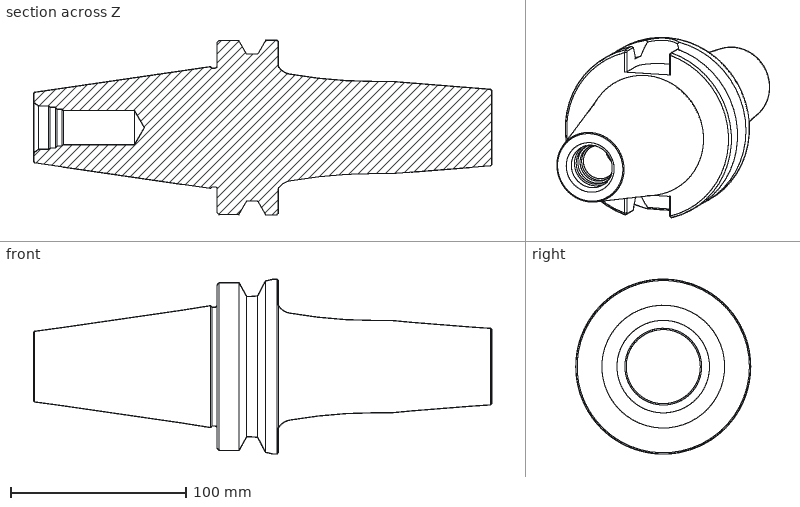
import cadquery as cq
import math

total_length = 261.8
taper_end = 101.0
flange_start = 104.7
flange_end = 139.8

small_end_radius = 20.2
small_end_chamfer = 0.5
taper_slope = 7 / 48
large_end_radius = small_end_radius + taper_end * taper_slope
neck_radius = 34.0
neck_start = taper_end + large_end_radius - neck_radius
neck_fillet = 1.0

flange_radius = 50.0
front_chamfer = 1.3
back_chamfer = 0.8
groove_x = 125.0
groove_radius = 42.1
groove_bottom_width = 6.3
flank_angle = 30.0
flank_length = (flange_radius - groove_radius) * math.tan(math.radians(flank_angle))
groove_bottom_half = groove_bottom_width / 2
groove_top_half = groove_bottom_half + flank_length

root_radius = 35.0
waist_start = 146.3
waist_start_radius = 30.5
waist_end = 194.8
shank_radius = 26.5
nose_start = 204.7
nose_angle = 4.5
nose_radius = shank_radius - (total_length - nose_start) * math.tan(math.radians(nose_angle))
nose_chamfer = 0.8

mouth_radius = 14.5
lip_radius = 13.5
lip_depth = 1.0
counterbore_radius = 12.3
counterbore_start = 3.0
counterbore_end = 8.6
recess_radius = 11.5
recess_end = 12.5
thread_radius = 10.5
thread_end = 16.2
drill_radius = 9.7
drill_end = 57.5
step_lead = 0.8
drill_tip_length = drill_radius * math.tan(math.radians(30))

slot_half_width = 12.8
slot_floor = 35.3
slot_end = 135.5
slot_edge_chamfer = 1.0


def waist_midpoint():
    """Middle of the waist arc, which is tangent to the shank cylinder."""
    run = waist_end - waist_start
    rise = waist_start_radius - shank_radius
    radius = (run**2 + rise**2) / (2 * rise)
    half_sweep = math.asin(run / radius) / 2
    x = waist_end - radius * math.sin(half_sweep)
    r = shank_radius + radius * (1 - math.cos(half_sweep))
    return (x, r)


def root_midpoint():
    """Middle of the root fillet, which runs tangent into the waist arc."""
    run = waist_start - flange_end
    drop = root_radius - waist_start_radius
    chord = math.hypot(run, drop)
    chord_angle = math.atan2(drop, run)
    waist_run = waist_end - waist_start
    waist_rise = waist_start_radius - shank_radius
    end_angle = 2 * math.atan2(waist_rise, waist_run)
    sagitta = chord / 2 * math.tan((chord_angle - end_angle) / 2)
    x = (flange_end + waist_start) / 2 - sagitta * math.sin(chord_angle)
    r = (root_radius + waist_start_radius) / 2 - sagitta * math.cos(chord_angle)
    return (x, r)


def make_body():
    """Turned outside shape: taper, flange, shank and nose."""
    profile = (
        cq.Workplane("XY")
        .moveTo(0, 0)
        .lineTo(0, small_end_radius - small_end_chamfer)
        .lineTo(small_end_chamfer, small_end_radius + small_end_chamfer * taper_slope)
        .lineTo(taper_end, large_end_radius)
        .lineTo(neck_start, neck_radius)
        .lineTo(flange_start - neck_fillet, neck_radius)
        .tangentArcPoint((flange_start, neck_radius + neck_fillet), relative=False)
        .lineTo(flange_start, flange_radius - front_chamfer)
        .lineTo(flange_start + front_chamfer, flange_radius)
        .lineTo(groove_x - groove_top_half, flange_radius)
        .lineTo(groove_x - groove_bottom_half, groove_radius)
        .lineTo(groove_x + groove_bottom_half, groove_radius)
        .lineTo(groove_x + groove_top_half, flange_radius)
        .lineTo(flange_end - back_chamfer, flange_radius)
        .lineTo(flange_end, flange_radius - back_chamfer)
        .lineTo(flange_end, root_radius)
        .threePointArc(root_midpoint(), (waist_start, waist_start_radius))
        .threePointArc(waist_midpoint(), (waist_end, shank_radius))
        .lineTo(nose_start, shank_radius)
        .lineTo(total_length - nose_chamfer, nose_radius)
        .lineTo(total_length, nose_radius - nose_chamfer)
        .lineTo(total_length, 0)
        .close()
    )
    return profile.revolve(360, (0, 0, 0), (1, 0, 0))


def make_bore():
    """Blind pull-stud bore stepping down from a countersunk mouth to a drill tip."""
    profile = (
        cq.Workplane("XY")
        .moveTo(0, 0)
        .lineTo(0, mouth_radius)
        .lineTo(lip_depth, lip_radius)
        .lineTo(counterbore_start, counterbore_radius)
        .lineTo(counterbore_end, counterbore_radius)
        .lineTo(counterbore_end + step_lead, recess_radius)
        .lineTo(recess_end, recess_radius)
        .lineTo(recess_end + step_lead, thread_radius)
        .lineTo(thread_end, thread_radius)
        .lineTo(thread_end + step_lead, drill_radius)
        .lineTo(drill_end, drill_radius)
        .lineTo(drill_end + drill_tip_length, 0)
        .close()
    )
    return profile.revolve(360, (0, 0, 0), (1, 0, 0))


def make_slot():
    """Round-ended drive slot above the +Z floor, open towards the taper."""
    arc_x = slot_end - slot_half_width
    outline = (
        cq.Workplane("XY", origin=(0, 0, slot_floor))
        .moveTo(neck_start, -slot_half_width)
        .lineTo(arc_x, -slot_half_width)
        .threePointArc((slot_end, 0), (arc_x, slot_half_width))
        .lineTo(neck_start, slot_half_width)
        .close()
    )
    return outline.extrude(flange_radius - slot_floor)


def slot_rim_edges(body):
    """Slot wall edges along the flange rim and along the flange face."""
    tol = 0.13
    rims = []
    for edge in body.edges().vals():
        box = edge.BoundingBox()
        if max(abs(box.ymin), abs(box.ymax)) > slot_half_width + tol:
            continue
        if box.xmin < flange_start - tol or box.xmax > slot_end + tol:
            continue
        mid = edge.positionAt(0.5)
        on_rim = abs(math.hypot(mid.y, mid.z) - flange_radius) < tol
        on_wall = abs(abs(mid.y) - slot_half_width) < tol
        on_face = on_wall and mid.x < flange_start + front_chamfer + tol
        if on_rim or on_face:
            rims.append(edge)
    return rims


slot = make_slot()
result = make_body().cut(make_bore())
result = result.cut(slot).cut(slot.mirror("XY"))
result = result.newObject(slot_rim_edges(result)).chamfer(slot_edge_chamfer)